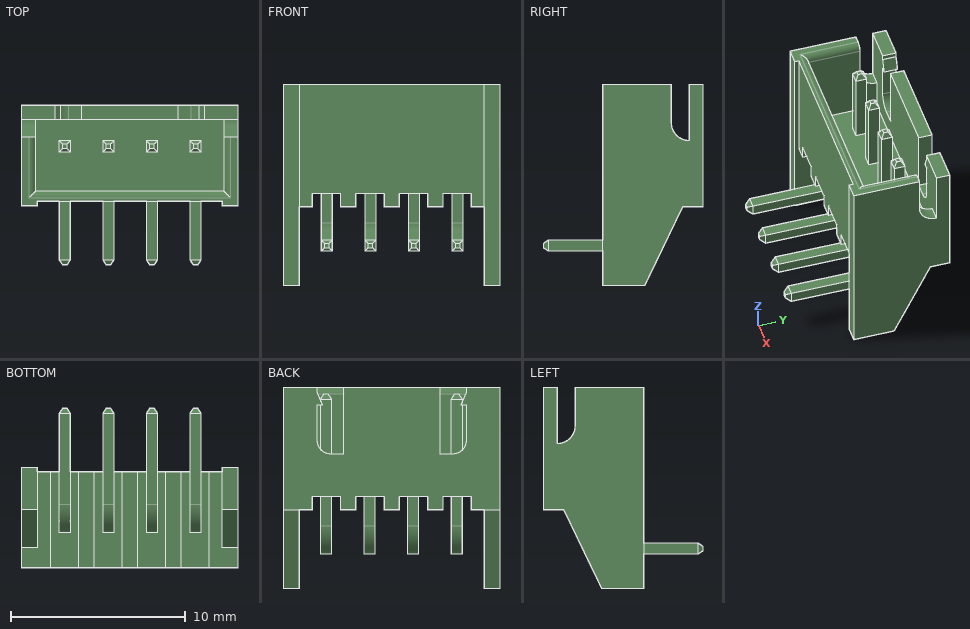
import cadquery as cq
import math


width = 12.4
height = 11.51
depth = 5.75
base_z = 4.5
half_width = width / 2

side_wall = 0.82
back_wall = 0.8
front_wall = 0.6
front_setback = 0.25
floor_thickness = 1.98
rim_radius = 0.38

wing_thickness = 0.92
foot_length = 2.42
slope_top_y = 4.59

side_slot_width = 1.0
side_slot_depth = 3.2

tab_width = 1.93
tongue_width = 5.5
latch_slot_depth = 3.8
latch_slot_radius = 0.76
hook_reach = 0.31
hook_drop = 0.3
hook_height = 0.71

pin_count = 4
pin_pitch = 2.49
pin_row_offset = 0.02
pin_size = 0.65
pin_y = 3.4
pin_z = 2.3
pin_top_gap = 0.38
pin_reach = 3.39
pin_inner_radius = 0.95
pin_tip_length = 0.3
pin_tip_size = 0.26

notch_width = 1.61
notch_height = 0.76

notch_xs = [(i - (pin_count - 1) / 2) * pin_pitch for i in range(pin_count)]


def box(x_range, y_range, z_range):
    """Box spanning the given (min, max) pairs."""
    size = [high - low for low, high in (x_range, y_range, z_range)]
    return (
        cq.Workplane("XY")
        .box(*size, centered=False)
        .translate((x_range[0], y_range[0], z_range[0]))
    )


def make_shell():
    """Open-topped housing with rounded cavity edges at the front and sides."""
    body = box((-half_width, half_width), (front_setback, depth), (base_z, height))
    inner_x = half_width - side_wall
    inner_front = front_setback + front_wall
    inner_back = depth - back_wall
    cavity = box((-inner_x, inner_x), (inner_front, inner_back), (base_z + floor_thickness, height))
    rim_margin = 0.01
    mouth_edges = cq.selectors.BoxSelector(
        (-inner_x - rim_margin, inner_front - rim_margin, height - rim_margin),
        (inner_x + rim_margin, inner_back - rim_margin, height + rim_margin),
    )
    return body.cut(cavity).edges(mouth_edges).fillet(rim_radius)


def make_wing(side):
    """Side plate below the housing, sloped at the back, with a strip up the front corner."""
    lower = (
        cq.Workplane("YZ")
        .polyline([(0, 0), (foot_length, 0), (slope_top_y, base_z), (0, base_z)])
        .close()
        .extrude(wing_thickness)
    )
    upper = box((0, wing_thickness), (0, front_setback), (base_z, height))
    wing = lower.union(upper).translate((-half_width, 0, 0))
    return wing if side < 0 else wing.mirror("YZ")


def make_side_slots():
    """Slots through both side walls, rounded at the lower front corner."""
    back_y = depth - back_wall
    front_y = back_y - side_slot_width
    bottom_z = height - side_slot_depth
    return (
        cq.Workplane("YZ")
        .moveTo(back_y, height)
        .lineTo(front_y, height)
        .lineTo(front_y, bottom_z + side_slot_width)
        .radiusArc((back_y, bottom_z), -side_slot_width)
        .close()
        .extrude(half_width, both=True)
    )


def make_latch_slot(side):
    """Slot through the back wall beside a tab, leaving the tab's hook in place."""
    tab_x = -half_width + tab_width
    hook_x = tab_x + hook_reach
    tongue_x = -tongue_width / 2
    ramp_top = height - hook_drop
    hook_bottom = ramp_top - hook_height
    slot_bottom = height - latch_slot_depth
    slot = (
        cq.Workplane("XZ", origin=(0, depth, 0))
        .moveTo(tongue_x, height)
        .lineTo(tab_x, height)
        .lineTo(tab_x, ramp_top)
        .lineTo(hook_x, hook_bottom)
        .lineTo(tab_x, hook_bottom)
        .lineTo(tab_x, slot_bottom + latch_slot_radius)
        .radiusArc((tab_x + latch_slot_radius, slot_bottom), -latch_slot_radius)
        .lineTo(tongue_x, slot_bottom)
        .close()
        .extrude(back_wall)
    )
    return slot if side < 0 else slot.mirror("YZ")


def make_pin(x):
    """Square pin bent from vertical to forward, tapered at both ends."""
    bend_radius = pin_inner_radius + pin_size / 2
    shaft_top = height - pin_top_gap - pin_tip_length
    shaft_front = -pin_reach + pin_tip_length
    tip_inset = (pin_size - pin_tip_size) / 2
    taper = math.degrees(math.atan(tip_inset / pin_tip_length))
    path = (
        cq.Workplane("YZ", origin=(x, 0, 0))
        .moveTo(pin_y, shaft_top)
        .lineTo(pin_y, pin_z + bend_radius)
        .radiusArc((pin_y - bend_radius, pin_z), bend_radius)
        .lineTo(shaft_front, pin_z)
    )
    top_plane = cq.Workplane("XY", origin=(x, pin_y, shaft_top))
    front_plane = cq.Workplane("XZ", origin=(x, shaft_front, pin_z))
    shaft = top_plane.rect(pin_size, pin_size).sweep(path)
    for plane in (top_plane, front_plane):
        shaft = shaft.union(plane.rect(pin_size, pin_size).extrude(pin_tip_length, taper=taper))
    return shaft


result = make_shell()
for side in (-1, 1):
    result = result.union(make_wing(side)).cut(make_latch_slot(side))
result = result.cut(make_side_slots())

for x in notch_xs:
    notch_x = (x - notch_width / 2, x + notch_width / 2)
    result = result.cut(box(notch_x, (0, depth), (base_z, base_z + notch_height)))

for x in notch_xs:
    result = result.union(make_pin(x + pin_row_offset))